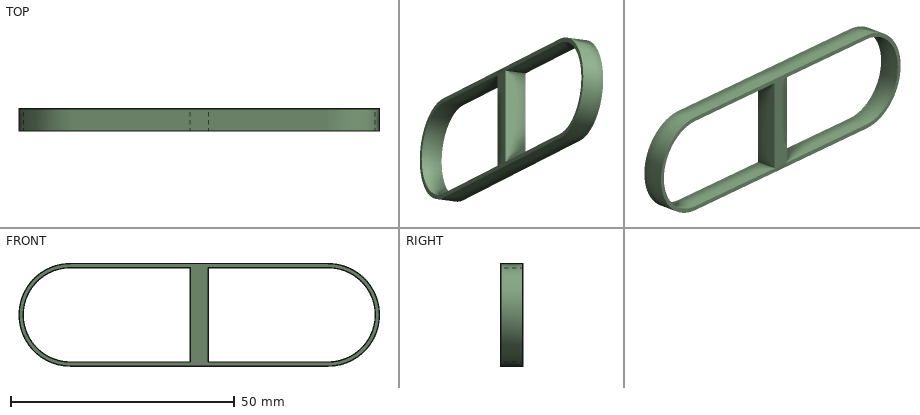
import cadquery as cq

length = 80.8
height = 23.0
depth = 5.0
wall = 1.0
bar_width = 4.1


def stadium(inset):
    """Solid with straight sides and round ends, inset from the outer outline."""
    return (
        cq.Workplane("XZ")
        .slot2D(length - 2 * inset, height - 2 * inset)
        .extrude(depth / 2, both=True)
    )


band = stadium(0).cut(stadium(wall))

bar = cq.Workplane("XY").box(bar_width, depth, height - wall)

result = band.union(bar)